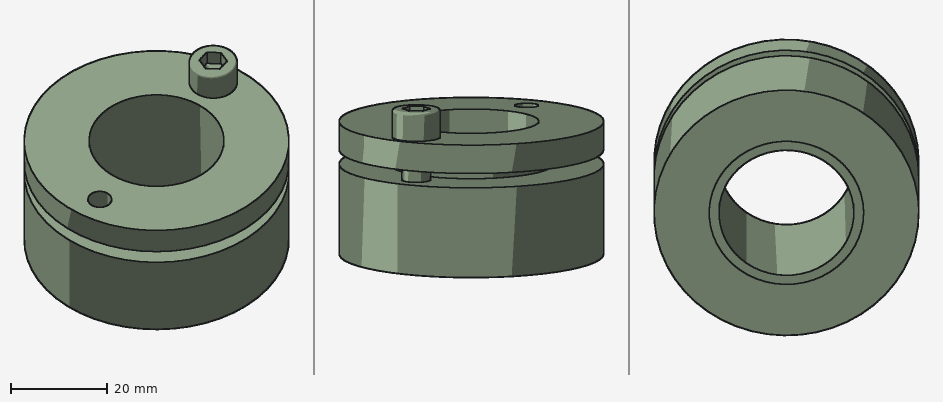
import cadquery as cq
import math

outer_diameter = 55.0
ring_height = 19.0

bore_diameter = 28.0
flange_gap = 3.0
flange_thickness = 6.0
hub_top_diameter = 34.4
taper_half_angle = 3.0

pitch_radius = 21.5
jack_hole_diameter = 4.9

shank_diameter = 6.0
shank_length = 20.0
head_diameter = 10.0
head_height = 6.0
head_edge_radius = 0.6
socket_across_flats = 5.0
socket_depth = 3.0
socket_tip_half_angle = 60.0

flange_bottom = ring_height + flange_gap
flange_top = flange_bottom + flange_thickness
head_top = flange_top + head_height
shank_bottom = flange_top - shank_length
taper_slope = math.tan(math.radians(taper_half_angle))
hub_top_radius = hub_top_diameter / 2
hub_bottom_radius = hub_top_radius - flange_bottom * taper_slope


def cylinder(diameter, bottom, height, y=0):
    """Vertical cylinder standing at the given level and Y position."""
    return cq.Workplane("XY", origin=(0, y, bottom)).circle(diameter / 2).extrude(height)


def make_hub_cone():
    """Solid tapered hub, from the ring underside up to the flange."""
    return (
        cq.Workplane("XZ")
        .polyline([
            (0, 0),
            (hub_bottom_radius, 0),
            (hub_top_radius, flange_bottom),
            (0, flange_bottom),
        ])
        .close()
        .revolve(360, (0, 0), (0, 1))
    )


def make_shank():
    return cylinder(shank_diameter, shank_bottom, shank_length, pitch_radius)


def make_ring():
    """Plain ring with a tapered seat and a blind hole for the screw."""
    ring = cylinder(outer_diameter, 0, ring_height)
    return ring.cut(make_hub_cone()).cut(make_shank())


def make_bushing():
    """Flange and tapered hub with a through bore, screw hole and jack-off hole."""
    flange = cylinder(outer_diameter, flange_bottom, flange_thickness)
    bore = cylinder(bore_diameter, 0, flange_top)
    jack_hole = cylinder(jack_hole_diameter, flange_bottom, flange_thickness, -pitch_radius)
    return make_hub_cone().union(flange).cut(bore).cut(make_shank()).cut(jack_hole)


def make_socket():
    """Hexagonal recess with corners along Y and a conical bottom."""
    across_corners = socket_across_flats / math.cos(math.radians(30))
    corner_radius = across_corners / 2
    tip_depth = corner_radius / math.tan(math.radians(socket_tip_half_angle))
    socket_floor = head_top - socket_depth
    hexagon = (
        cq.Workplane("XY", origin=(0, pitch_radius, socket_floor))
        .transformed(rotate=(0, 0, 90))
        .polygon(6, across_corners)
        .extrude(socket_depth)
    )
    tip = cq.Workplane(
        cq.Solid.makeCone(
            corner_radius, 0, tip_depth,
            pnt=cq.Vector(0, pitch_radius, socket_floor),
            dir=cq.Vector(0, 0, -1),
        )
    )
    hexagon_below = hexagon.translate((0, 0, -socket_depth))
    return hexagon.union(tip.intersect(hexagon_below))


def make_screw():
    """Cap screw whose head rests on the flange."""
    head = cylinder(head_diameter, flange_top, head_height, pitch_radius)
    head = head.faces(">Z").edges().fillet(head_edge_radius)
    return head.union(make_shank()).cut(make_socket())


ring = make_ring()
bushing = make_bushing()
screw = make_screw()

result = cq.Compound.makeCompound([ring.val(), bushing.val(), screw.val()])